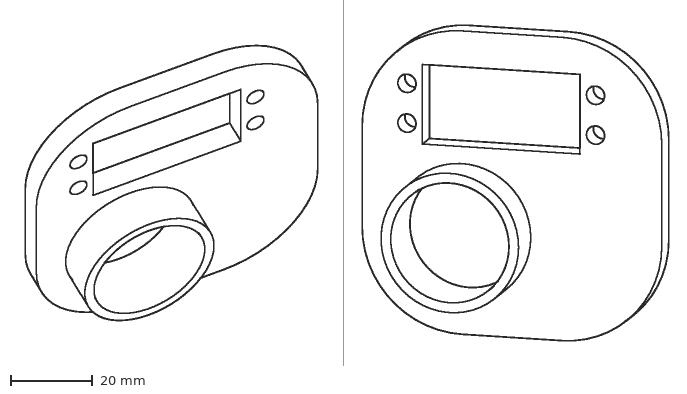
import cadquery as cq

plate_side = 76.2
plate_thickness = 6.4
corner_radius = plate_side / 3

total_depth = 17.4
tube_outer_diameter = 35.0
tube_bore_diameter = 30.0
tube_center = corner_radius - plate_side / 2

window_width = 40.0
window_height = 20.0
window_center = (-2.75, 19.05)
screw_hole_diameter = 4.6
screw_spacing_y = 47.9
screw_spacing_z = 10.0


def make_plate():
    """Square plate with large rounded corners."""
    plate = cq.Workplane("YZ").rect(plate_side, plate_side).extrude(plate_thickness)
    return plate.edges("|X").fillet(corner_radius)


def make_cylinder(diameter):
    """Cylinder on the tube axis, over the full depth of the part."""
    return cq.Workplane("YZ").center(tube_center, tube_center).circle(diameter / 2).extrude(total_depth)


def make_window_cut():
    """Window and its four screw holes, all through the plate."""
    base = cq.Workplane("YZ").center(*window_center)
    window = base.rect(window_width, window_height).extrude(plate_thickness)
    holes = (
        base.rect(screw_spacing_y, screw_spacing_z, forConstruction=True)
        .vertices()
        .circle(screw_hole_diameter / 2)
        .extrude(plate_thickness)
    )
    return window.union(holes)


body = make_plate().union(make_cylinder(tube_outer_diameter))
result = body.cut(make_cylinder(tube_bore_diameter)).cut(make_window_cut())